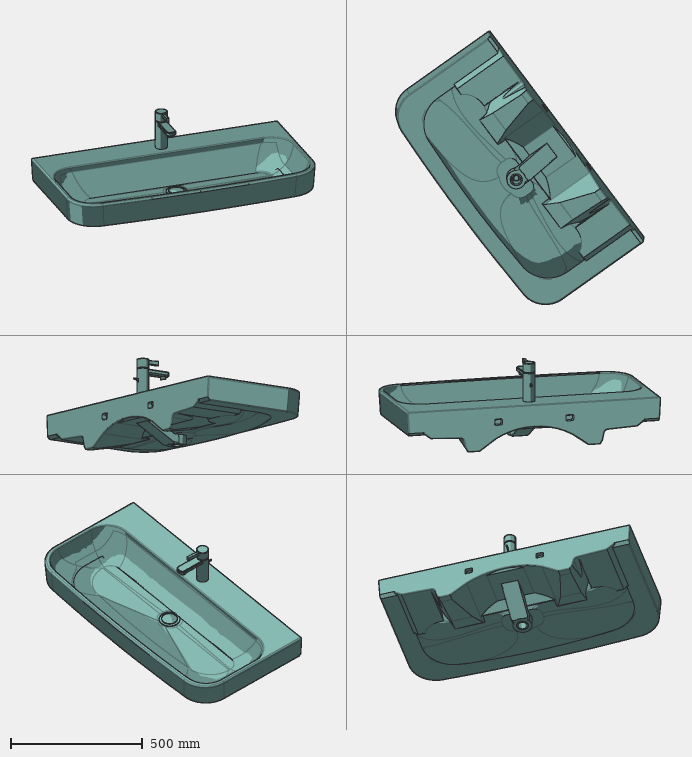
import cadquery as cq
import math


basin_length = 1000.0
basin_depth = 505.0
rim_height = 94.0
front_bow = 10.0
outer_corner = 108.0
wall_draft = 5.0
rim_band = 8.0
rim_round = 7.0
back_round = 3.0
lower_round = 4.0
rear_lower_chamfer = 12.0

bowl_levels = [
    (0.0, 129.0, 484.0, 482.0, 90.0, 90.0),
    (-56.0, 142.0, 471.0, 458.0, 90.0, 90.0),
    (-90.0, 170.0, 432.0, 420.0, 70.0, 100.0),
    (-104.0, 210.0, 376.0, 374.0, 40.0, 110.0),
]
bowl_edge_round = 4.0
floor_low_z = -117.0
drain_patch_margin = 8.0
patch_back_round = 39.0
patch_front_round = 30.0

shell_levels = [
    (-75.0, 130.0, 448.0, 442.0, 90.0, 120.0),
    (-110.0, 170.0, 430.0, 385.0, 80.0, 130.0),
    (-121.0, 185.0, 398.0, 230.0, 70.0, 120.0),
    (-129.0, 200.0, 300.0, 80.0, 30.0, 40.0),
]

support_top = -20.0
leg_bottom = -169.0
leg_length = 220.0
shelf_half = 439.0
arch_foot_half = 215.0
arch_top = -86.0
leg_outer_half = 267.0
leg_flat = 25.0
leg_mid_x = 160.0
leg_mid_z = -141.0
leg_end_z = -122.0
leg_bevel_width = 9.0
leg_bevel_height = 14.0
support_round = 3.0

pocket_y = 141.0
pocket_width = 30.0
pocket_top = -47.0
pocket_bottom = -71.0
pocket_depth = 20.0
pocket_slope = 7.0
pocket_corner = 6.0

drain_x = 238.0
outlet_bottom = -165.0
outlet_bottom_radius = 36.0
outlet_draft = 2.0
channel_half_width = 33.0
channel_round = 6.0
drain_tube_diameter = 46.0
drain_bore_diameter = 35.0
flange_diameter = 79.0
flange_thickness = 3.0
plug_diameter = 60.0
plug_edge_height = 3.0
plug_dome_height = 5.0
plug_stem_diameter = 20.0
plug_stem_length = 25.0

faucet_x = 74.0
faucet_diameter = 46.0
faucet_height = 110.0
spout_tip_x = 193.0
spout_half_width = 19.0
spout_thickness = 19.0
spout_corner = 15.0
spout_top_chamfer = 3.0
spout_bottom_chamfer = 6.0
aerator_x = 173.0
aerator_diameter = 21.0
aerator_bottom = 83.0
aerator_socket = 4.0
aerator_tilt = 10.0

handle_top = 149.0
handle_gap = 4.0
neck_diameter = 44.0
handle_chamfer = 2.0
lever_tip_x = 146.0
lever_width = 10.0
lever_bottom = 131.0
lever_root_top = 145.0
lever_chamfer = 3.0

lift_thickness = 4.0
lift_tip_x = 31.0
lift_top = 71.0
lift_brace_x = 40.0
lift_brace_bottom = 55.0
lift_overlap = 3.0


def outline(z, back, front, half, back_radius, front_radius):
    """Plan outline at height z: bowed front edge, round corners, square back corners at radius 0."""
    corner_x = front - front_bow
    cut = 1 - math.sqrt(0.5)
    back_cut = cut * back_radius
    front_cut = cut * front_radius
    path = cq.Workplane("XY", origin=(0, 0, z)).moveTo(back, back_radius - half)
    if back_radius > 0:
        path = path.threePointArc((back + back_cut, back_cut - half), (back + back_radius, -half))
    path = path.lineTo(corner_x - front_radius, -half)
    path = path.threePointArc((corner_x - front_cut, front_cut - half), (corner_x, front_radius - half))
    path = path.threePointArc((front, 0), (corner_x, half - front_radius))
    path = path.threePointArc((corner_x - front_cut, half - front_cut), (corner_x - front_radius, half))
    path = path.lineTo(back + back_radius, half)
    if back_radius > 0:
        path = path.threePointArc((back + back_cut, half - back_cut), (back, half - back_radius))
    return path.close().wire().val()


def loft(levels, ruled=False):
    """Solid through a stack of plan outlines."""
    return cq.Workplane(cq.Solid.makeLoft([outline(*level) for level in levels], ruled))


def cylinder(x, diameter, bottom, top):
    """Upright cylinder on the middle plane of the basin."""
    return cq.Workplane("XY", origin=(x, 0, bottom)).circle(diameter / 2).extrude(top - bottom)


def side_plate(points, width):
    """Plate with an outline in X and Z, centred on Y = 0."""
    return cq.Workplane("XZ").polyline(points).close().extrude(width / 2, both=True)


def rim_block():
    """Deck and rim around the bowl mouth, with square back corners and drafted sides."""
    insets = [(0, 0), (-rim_band, 0), (-rim_height, wall_draft)]
    half = basin_length / 2
    block = loft(
        [(z, 0, basin_depth - inset, half - inset, 0, outer_corner) for z, inset in insets],
        ruled=True,
    )
    block = block.faces("<X").edges("<Z").chamfer(rear_lower_chamfer)
    block = block.faces(">Z").edges("not <X").fillet(rim_round)
    block = block.faces("<Z").edges("not <X").fillet(lower_round)
    block = block.faces("<X").edges(">Z").fillet(back_round)
    bowl_mouth = cq.selectors.BoxSelector(
        (rim_round, -half + rim_round, -1.0),
        (basin_depth - rim_round, half - rim_round, 1.0),
        boundingbox=True,
    )
    return block.cut(loft(bowl_levels)).edges(bowl_mouth).fillet(bowl_edge_round)


def wall_support():
    """Back plate: flat shelves outside, two legs, and an arch between them."""
    plate = (
        cq.Workplane("YZ")
        .moveTo(shelf_half, support_top)
        .lineTo(shelf_half, -85.0)
        .lineTo(408.0, -108.0)
        .lineTo(290.0, -114.0)
        .threePointArc((280.0, -119.0), (276.0, -128.0))
        .lineTo(leg_outer_half, leg_bottom)
        .lineTo(arch_foot_half, leg_bottom)
        .lineTo(150.0, -124.0)
        .threePointArc((77.0, -95.0), (0, arch_top))
        .lineTo(0, support_top)
        .close()
        .extrude(leg_length)
    )
    plate = plate.union(plate.mirror("XZ"))
    leg_side = [
        (0, support_top),
        (0, leg_bottom),
        (leg_flat, leg_bottom),
        (leg_mid_x, leg_mid_z),
        (leg_length, leg_end_z),
        (leg_length, support_top),
    ]
    plate = plate.intersect(side_plate(leg_side, basin_length))
    rise_angle = math.degrees(math.atan2(leg_mid_z - leg_bottom, leg_mid_x - leg_flat))
    bevel = (
        cq.Workplane("YZ", origin=(-basin_depth, 0, 0))
        .moveTo(leg_outer_half - leg_bevel_width, leg_bottom)
        .line(4 * leg_bevel_width, 0)
        .line(0, 4 * leg_bevel_height)
        .close()
        .extrude(2 * basin_depth)
        .rotate((leg_flat, 0, leg_bottom), (leg_flat, 1, leg_bottom), -rise_angle)
    )
    plate = plate.cut(bevel).cut(bevel.mirror("XZ"))
    return plate.faces("<X").edges("not >Z").fillet(support_round)


def overflow_channel():
    """Sloped duct under the bowl, from the arch to the drain outlet."""
    side = [(70.0, -80.0), (70.0, -94.0), (204.0, outlet_bottom), (drain_x, outlet_bottom), (drain_x, -80.0)]
    channel = side_plate(side, 2 * channel_half_width)
    return channel.faces("<Z").edges("|X").fillet(channel_round)


def fixing_pocket(y):
    """Blind wall fixing pocket whose ceiling slopes down at the inner end."""
    profile = [
        (0, pocket_top),
        (pocket_depth - pocket_slope, pocket_top),
        (pocket_depth, pocket_top - pocket_slope),
        (pocket_depth, pocket_bottom),
        (0, pocket_bottom),
    ]
    pocket = side_plate(profile, pocket_width).edges("|X").fillet(pocket_corner)
    return pocket.translate((0, y, 0))


def build_basin():
    """Rim, wall support, bowl shell, channel and outlet as one ceramic body."""
    outlet_height = floor_low_z - outlet_bottom
    outlet = (
        cq.Workplane("XY", origin=(drain_x, 0, outlet_bottom))
        .circle(outlet_bottom_radius)
        .extrude(outlet_height, taper=-outlet_draft)
    )
    body = rim_block().union(wall_support()).union(loft(shell_levels))
    body = body.union(overflow_channel()).union(outlet)
    patch = flange_diameter / 2 + drain_patch_margin
    drain_patch = (
        floor_low_z, drain_x - patch, drain_x + patch, patch, patch_back_round, patch_front_round
    )
    floor = loft([bowl_levels[-1], drain_patch], ruled=True)
    body = body.cut(loft(bowl_levels)).cut(floor)
    body = body.cut(cylinder(drain_x, drain_tube_diameter, outlet_bottom, floor_low_z))
    for y in (-pocket_y, pocket_y):
        body = body.cut(fixing_pocket(y))
    return body


def build_drain_flange():
    """Flat ring on the bowl floor with a tube through the outlet."""
    flange_top = floor_low_z + flange_thickness
    flange = cylinder(drain_x, flange_diameter, floor_low_z, flange_top)
    flange = flange.union(cylinder(drain_x, drain_tube_diameter, outlet_bottom, flange_top))
    return flange.cut(cylinder(drain_x, drain_bore_diameter, outlet_bottom, flange_top))


def build_drain_plug():
    """Domed plug resting on the flange, with a stem in its bore."""
    seat = floor_low_z + flange_thickness
    radius = plug_diameter / 2
    edge = seat + plug_edge_height
    crown = edge + plug_dome_height
    sphere_radius = (radius**2 + plug_dome_height**2) / (2 * plug_dome_height)
    mid_x = radius / 2
    mid_z = crown - sphere_radius + math.sqrt(sphere_radius**2 - mid_x**2)
    stem = plug_stem_diameter / 2
    plug = (
        cq.Workplane("XZ")
        .moveTo(0, crown)
        .threePointArc((mid_x, mid_z), (radius, edge))
        .lineTo(radius, seat)
        .lineTo(stem, seat)
        .lineTo(stem, seat - plug_stem_length)
        .lineTo(0, seat - plug_stem_length)
        .close()
        .revolve(360, (0, 0, 0), (0, 1, 0))
    )
    return plug.translate((drain_x, 0, 0))


def build_aerator():
    """Short tilted cylinder set into the underside of the spout."""
    top = faucet_height - spout_thickness + aerator_socket
    tube = cylinder(aerator_x, aerator_diameter, aerator_bottom, top)
    pivot = (aerator_x, 0, aerator_bottom)
    return tube.rotate(pivot, (aerator_x, 1, aerator_bottom), -aerator_tilt)


def build_faucet(socket):
    """Round column with a flat spout, recessed for the aerator."""
    spout_length = spout_tip_x - faucet_x
    spout = (
        cq.Workplane("XY", origin=(faucet_x, 0, faucet_height - spout_thickness))
        .rect(2 * spout_length, 2 * spout_half_width)
        .extrude(spout_thickness)
        .edges("|Z and >X")
        .fillet(spout_corner)
    )
    spout = spout.faces(">Z").edges("not <X").chamfer(spout_top_chamfer)
    spout = spout.faces("<Z").edges("not <X").chamfer(spout_bottom_chamfer)
    front_side = cq.Workplane("XY").box(
        spout_length, basin_length, faucet_height, centered=(False, True, False)
    )
    spout = spout.intersect(front_side.translate((faucet_x, 0, 0)))
    return cylinder(faucet_x, faucet_diameter, 0, faucet_height).union(spout).cut(socket)


def build_handle():
    """Cap on a narrower neck, with a lever that rises slightly towards its tip."""
    cap_bottom = faucet_height + handle_gap
    cap = cylinder(faucet_x, faucet_diameter, cap_bottom, handle_top)
    cap = cap.faces(">Z").edges().chamfer(handle_chamfer)
    neck = cylinder(faucet_x, neck_diameter, faucet_height, cap_bottom)
    lever_side = [
        (faucet_x, lever_bottom),
        (lever_tip_x, lever_bottom),
        (lever_tip_x, handle_top),
        (faucet_x, lever_root_top),
    ]
    lever = side_plate(lever_side, lever_width).faces("<Z").edges("|X").chamfer(lever_chamfer)
    return cap.union(neck).union(lever)


def build_lift_lever():
    """Thin braced lever that ends on the faucet's round back."""
    inner_x = faucet_x - faucet_diameter / 2 + lift_overlap
    side = [
        (lift_tip_x, lift_top),
        (inner_x, lift_top),
        (inner_x, lift_brace_bottom),
        (lift_brace_x, lift_top - lift_thickness),
        (lift_tip_x, lift_top - lift_thickness),
    ]
    lever = side_plate(side, lift_thickness)
    return lever.cut(cylinder(faucet_x, faucet_diameter, 0, faucet_height))


basin = build_basin()
drain_flange = build_drain_flange()
drain_plug = build_drain_plug()
aerator = build_aerator()
faucet = build_faucet(aerator)
handle = build_handle()
lift_lever = build_lift_lever()

bodies = [basin, drain_flange, drain_plug, aerator, faucet, handle, lift_lever]
result = cq.Compound.makeCompound([body.solids().val() for body in bodies])